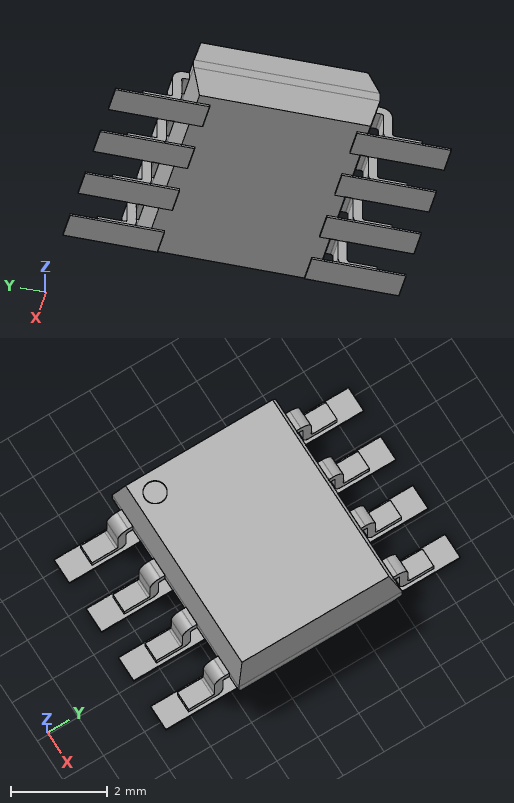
import cadquery as cq
import math

body_length = 5.0
body_width = 4.0
body_bottom = 0.15
band_bottom = 0.77
band_top = 0.995
body_top = 1.75
draft_angle = 15.0

mark_radius = 0.25
mark_edge_distance = 0.65
mark_depth = 0.035

leads_per_row = 4
lead_pitch = 1.27
lead_width = 0.45
lead_thickness = 0.2
lead_tip = 3.0
lead_leg_face = 2.365
lead_top = 0.98
lead_root_depth = 0.145
inner_bend_radius = 0.05
outer_bend_radius = inner_bend_radius + lead_thickness

pad_outer_end = 3.605
pad_length = 2.025
pad_width = 0.605
pad_thickness = 0.05


def drafted_block(base_height, height):
    """Block on the band outline that narrows away from it; a negative height goes downwards."""
    inset = abs(height) * math.tan(math.radians(draft_angle))
    return (
        cq.Workplane("XY", origin=(0, 0, base_height))
        .rect(body_length, body_width)
        .workplane(offset=height)
        .rect(body_length - 2 * inset, body_width - 2 * inset)
        .loft(ruled=True)
    )


def make_body():
    band = (
        cq.Workplane("XY", origin=(0, 0, band_bottom))
        .rect(body_length, body_width)
        .extrude(band_top - band_bottom)
    )
    upper = drafted_block(band_top, body_top - band_top)
    lower = drafted_block(band_bottom, body_bottom - band_bottom)
    mark = (
        cq.Workplane("XY", origin=(0, 0, body_top))
        .center(mark_edge_distance - body_length / 2, mark_edge_distance - body_width / 2)
        .circle(mark_radius)
        .extrude(-mark_depth)
    )
    return band.union(upper).union(lower).cut(mark)


def make_lead():
    """Lead on the +Y side, centred on X = 0, with its foot resting at Z = 0."""
    root = body_width / 2 - lead_root_depth
    leg_back = lead_leg_face - lead_thickness
    shoulder_bottom = lead_top - lead_thickness
    profile = (
        cq.Workplane("YZ")
        .moveTo(root, lead_top)
        .lineTo(lead_leg_face - outer_bend_radius, lead_top)
        .radiusArc((lead_leg_face, lead_top - outer_bend_radius), outer_bend_radius)
        .lineTo(lead_leg_face, lead_thickness + inner_bend_radius)
        .radiusArc((lead_leg_face + inner_bend_radius, lead_thickness), -inner_bend_radius)
        .lineTo(lead_tip, lead_thickness)
        .lineTo(lead_tip, 0)
        .lineTo(leg_back + outer_bend_radius, 0)
        .radiusArc((leg_back, outer_bend_radius), outer_bend_radius)
        .lineTo(leg_back, shoulder_bottom - inner_bend_radius)
        .radiusArc((leg_back - inner_bend_radius, shoulder_bottom), -inner_bend_radius)
        .lineTo(root, shoulder_bottom)
        .close()
    )
    return profile.extrude(lead_width / 2, both=True)


def make_pad():
    """Flat pad on the +Y side, centred on X = 0."""
    return (
        cq.Workplane("XY")
        .center(0, pad_outer_end - pad_length / 2)
        .rect(pad_width, pad_length)
        .extrude(pad_thickness)
    )


result = make_body()
lead_on_pad = make_lead().union(make_pad())
for position in range(leads_per_row):
    x = (position - (leads_per_row - 1) / 2) * lead_pitch
    back_lead = lead_on_pad.translate((x, 0, 0))
    front_lead = back_lead.mirror("XZ")
    result = result.union(back_lead).union(front_lead)